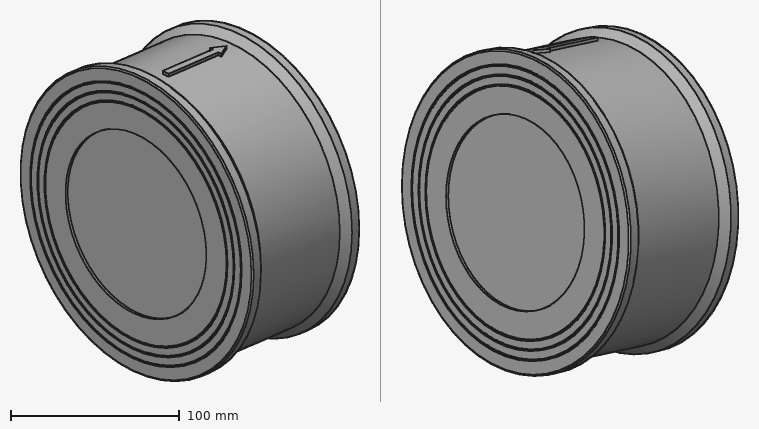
import cadquery as cq

outer_diameter = 196.0
length = 90.0
body_radius = 93.0
rim_width = 7.0
rim_edge_chamfer = 1.0

groove_inner_radii = (76.0, 82.0, 88.0)
groove_width = 1.0
groove_depth = 1.0
recess_radius = 59.2
recess_depth = 2.0

arrow_center_x = 4.9
arrow_length = 50.8
arrow_tip_y = 25.7
arrow_head_length = 9.2
arrow_head_width = 9.8
arrow_shaft_width = 4.9
arrow_height = 2.0

outer_radius = outer_diameter / 2
half_length = length / 2
rim_inner_y = half_length - rim_width
neck_y = rim_inner_y - (outer_radius - body_radius)


def make_spool():
    """Solid of revolution: two rims with sloped backs joined by a plain cylinder."""
    chamfer_radius = outer_radius - rim_edge_chamfer
    chamfer_y = half_length - rim_edge_chamfer
    return (
        cq.Workplane("XY")
        .moveTo(0, -half_length)
        .lineTo(chamfer_radius, -half_length)
        .lineTo(outer_radius, -chamfer_y)
        .lineTo(outer_radius, -rim_inner_y)
        .lineTo(body_radius, -neck_y)
        .lineTo(body_radius, neck_y)
        .lineTo(outer_radius, rim_inner_y)
        .lineTo(outer_radius, chamfer_y)
        .lineTo(chamfer_radius, half_length)
        .lineTo(0, half_length)
        .close()
        .revolve(360, (0, 0, 0), (0, 1, 0))
    )


def make_end_face_cuts():
    """Material removed from the -Y face: the central recess and the sealing grooves."""
    face = cq.Workplane("XZ", origin=(0, -half_length, 0))
    cuts = face.circle(recess_radius).extrude(-recess_depth)
    for inner_radius in groove_inner_radii:
        ring = face.circle(inner_radius + groove_width).circle(inner_radius)
        cuts = cuts.add(ring.extrude(-groove_depth))
    return cuts.combine()


def make_arrow():
    """Arrow standing on the cylinder, its top curved concentric with the body."""
    head_base_y = arrow_tip_y - arrow_head_length
    tail_y = arrow_tip_y - arrow_length
    half_head = arrow_head_width / 2
    half_shaft = arrow_shaft_width / 2
    top_radius = body_radius + arrow_height
    column = (
        cq.Workplane("XY")
        .center(arrow_center_x, 0)
        .moveTo(0, arrow_tip_y)
        .lineTo(half_head, head_base_y)
        .lineTo(half_shaft, head_base_y)
        .lineTo(half_shaft, tail_y)
        .lineTo(-half_shaft, tail_y)
        .lineTo(-half_shaft, head_base_y)
        .lineTo(-half_head, head_base_y)
        .close()
        .extrude(top_radius)
    )
    envelope = cq.Workplane("XZ").circle(top_radius).extrude(half_length, both=True)
    return column.intersect(envelope)


end_face_cuts = make_end_face_cuts()
result = (
    make_spool()
    .cut(end_face_cuts)
    .cut(end_face_cuts.mirror("XZ"))
    .union(make_arrow())
)